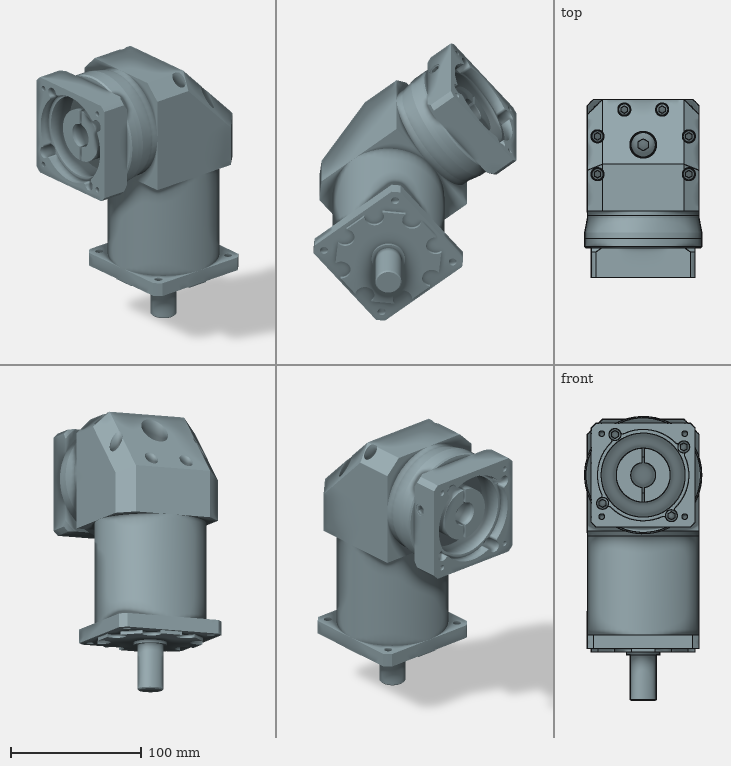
import cadquery as cq
import math


half_width = 43.0
bevel = 11.8
slant_leg = 49.7
output_neck_end = 46.9
input_neck_end = 46.2
bolt_circle_radius = 38.0
bolt_count = 8
bolt_hole_radius = 5.0
bolt_head_radius = 4.4
bolt_head_height = 4.4
bolt_hole_floor = -8.7
bolt_socket_radius = 2.8
bolt_socket_depth = 2.2
plug_y = 8.0
plug_hole_radius = 10.2
plug_radius = 9.4
plug_floor = 13.0
plug_height = 2.2
plug_socket_radius = 4.5

flange_top = 122.5
flange_bottom = 133.2
flange_corner_radius = 57.3
flange_hole_offset = 35.0
flange_hole_radius = 3.0
pilot_bottom = 135.8
pilot_flat_distance = 40.0
pilot_notch_radius = 7.5
seal_bottom = 138.0
seal_radius = 12.9
shaft_radius = 10.0
shaft_chamfer = 0.9

cone_start = 48.5
cone_end = 59.3
ring_diameter = 90.0
ring_radius = ring_diameter / 2
ring_end = 63.9

adapter_shoulder = 71.0
adapter_shoulder_chamfer = 1.0
adapter_end = 94.0
plate_width = 79.8
plate_half_width = plate_width / 2
plate_corner_radius = 53.8
plate_back_radius = 51.0
plate_back_chamfer = 3.0
pilot_bore_radius = 35.0
pilot_bore_depth = 7.8
main_bore_radius = 32.3
bore_floor = 67.0
motor_hole_offset = 31.8
motor_hole_radius = 2.2
motor_hole_depth = 13.0
adapter_bolt_angle = 34.8
adapter_bolt_radius = 4.5
adapter_bolt_depth = 15.3
adapter_bolt_blend = 1.7
adapter_socket_radius = 3.0
side_screw_offset = 78.0
side_screw_z = 14.4
side_screw_radius = 5.0
side_screw_recess = 0.5
side_socket_radius = 3.7
side_socket_depth = 4.4

overall_height = 218
shaft_end = overall_height - ring_radius

hub_front = 84.0
hub_radius = 20.7
hub_bore_radius = 9.5
hub_slot_width = 2.2
hub_slot_depth = 11.0
hub_sleeve_radius = 13.7


def disc_down(radius, top, bottom):
    """Cylinder on the output axis between two distances below the origin."""
    return cq.Workplane("XY").workplane(offset=-top).circle(radius).extrude(top - bottom)


def input_plane(distance):
    """Plane across the input axis, facing the motor, with X along X and Y along Z."""
    return cq.Workplane("XZ").workplane(offset=distance)


def disc_input(radius, start, end):
    """Cylinder on the input axis between two distances from the origin."""
    return input_plane(start).circle(radius).extrude(end - start)


def hexagon(plane, corner_radius):
    """Hexagon with one corner on the plane's own vertical axis."""
    corners = [
        (corner_radius * math.sin(math.radians(60 * i)), corner_radius * math.cos(math.radians(60 * i)))
        for i in range(6)
    ]
    return plane.polyline(corners).close()


def socket_screw_hole(x, y, floor, hole_radius, head_radius, head_height, socket_radius):
    """Vertical hole that leaves a screw head with a hexagon socket standing on its floor."""
    base = cq.Workplane("XY").workplane(offset=floor).center(x, y)
    hole = base.circle(hole_radius).extrude(2 * half_width)
    head = base.circle(head_radius).extrude(head_height)
    socket_plane = base.workplane(offset=head_height - bolt_socket_depth)
    socket = hexagon(socket_plane, socket_radius).extrude(bolt_socket_depth)
    return hole.cut(head.cut(socket))


def make_housing():
    slant_start = half_width - slant_leg
    outline = [
        (-half_width, -half_width),
        (half_width, -half_width),
        (half_width, slant_start),
        (slant_start, half_width),
        (-half_width, half_width),
    ]
    body = cq.Workplane("YZ").polyline(outline).close().extrude(half_width, both=True)
    body = body.faces("<X or >X").edges("not (<Z or <Y)").chamfer(bevel)

    body = body.union(disc_down(half_width, half_width, output_neck_end))
    body = body.union(disc_input(half_width, half_width, input_neck_end))

    for i in range(bolt_count):
        angle = math.radians((i + 0.5) * 360 / bolt_count)
        x = bolt_circle_radius * math.cos(angle)
        y = bolt_circle_radius * math.sin(angle)
        if y > -bolt_circle_radius / 2:
            body = body.cut(socket_screw_hole(
                x, y, bolt_hole_floor, bolt_hole_radius,
                bolt_head_radius, bolt_head_height, bolt_socket_radius,
            ))

    return body.cut(socket_screw_hole(
        0, plug_y, plug_floor, plug_hole_radius, plug_radius, plug_height, plug_socket_radius,
    ))


def make_pilot():
    """Eight-sided pilot with a round notch at each corner."""
    across_corners = 2 * pilot_flat_distance / math.cos(math.pi / bolt_count)
    thickness = pilot_bottom - flange_bottom
    base = cq.Workplane("XY", origin=(0, 0, -pilot_bottom)).transformed(rotate=(0, 0, 180 / bolt_count))
    pilot = base.polygon(bolt_count, across_corners).extrude(thickness)
    notches = base.polarArray(bolt_circle_radius, 0, 360, bolt_count).circle(pilot_notch_radius)
    return pilot.cut(notches.extrude(thickness))


def make_output_stage():
    flange_thickness = flange_bottom - flange_top
    flange_plane = cq.Workplane("XY").workplane(offset=-flange_bottom)
    flange = flange_plane.rect(2 * half_width, 2 * half_width).extrude(flange_thickness)
    flange = flange.intersect(disc_down(flange_corner_radius, flange_top, flange_bottom))
    holes = flange_plane.rect(2 * flange_hole_offset, 2 * flange_hole_offset, forConstruction=True)
    flange = flange.cut(holes.vertices().circle(flange_hole_radius).extrude(flange_thickness))

    shaft = disc_down(shaft_radius, seal_bottom, shaft_end).faces("<Z").chamfer(shaft_chamfer)
    return (
        disc_down(half_width, output_neck_end, flange_top)
        .union(flange)
        .union(make_pilot())
        .union(disc_down(seal_radius, pilot_bottom, seal_bottom))
        .union(shaft)
    )


def make_input_ring():
    profile = [
        (0, -input_neck_end),
        (half_width, -input_neck_end),
        (half_width, -cone_start),
        (ring_radius, -cone_end),
        (ring_radius, -ring_end),
        (0, -ring_end),
    ]
    return cq.Workplane("XY").polyline(profile).close().revolve(360, (0, 0, 0), (0, 1, 0))


def make_plate():
    """Square plate whose corners and back corner bevels are turned about the input axis."""
    square = input_plane(adapter_shoulder).rect(2 * plate_half_width, 2 * plate_half_width)
    square = square.extrude(adapter_end - adapter_shoulder)
    turned_profile = [
        (0, -adapter_shoulder),
        (plate_back_radius, -adapter_shoulder),
        (plate_corner_radius, -adapter_shoulder - plate_back_chamfer),
        (plate_corner_radius, -adapter_end),
        (0, -adapter_end),
    ]
    turned = cq.Workplane("XY").polyline(turned_profile).close().revolve(360, (0, 0, 0), (0, 1, 0))
    return square.intersect(turned)


def adapter_bolt_places():
    """X and Z of the four adapter bolts."""
    angles = [math.radians(adapter_bolt_angle + 90 * i) for i in range(4)]
    return [(bolt_circle_radius * math.cos(a), bolt_circle_radius * math.sin(a)) for a in angles]


def make_pilot_recess():
    """Pilot bore joined to the four bolt holes with rounded corners."""
    pilot_floor = adapter_end - pilot_bore_depth
    bolt_holes = input_plane(pilot_floor).pushPoints(adapter_bolt_places()).circle(adapter_bolt_radius)
    recess = disc_input(pilot_bore_radius, pilot_floor, adapter_end).union(bolt_holes.extrude(pilot_bore_depth))
    return recess.edges("|Y").fillet(adapter_bolt_blend)


def make_adapter():
    shoulder = disc_input(ring_radius, ring_end, adapter_shoulder).faces("<Y").chamfer(adapter_shoulder_chamfer)
    body = shoulder.union(make_plate())
    body = body.cut(make_pilot_recess())
    body = body.cut(disc_input(main_bore_radius, bore_floor, adapter_end))

    for x in (-motor_hole_offset, motor_hole_offset):
        for z in (-motor_hole_offset, motor_hole_offset):
            hole = input_plane(adapter_end - motor_hole_depth).center(x, z).circle(motor_hole_radius)
            tip = cq.Solid.makeCone(
                motor_hole_radius, 0, motor_hole_radius,
                cq.Vector(x, motor_hole_depth - adapter_end, z), cq.Vector(0, 1, 0),
            )
            body = body.cut(hole.extrude(motor_hole_depth)).cut(cq.Workplane(tip))

    for x, z in adapter_bolt_places():
        head_plane = input_plane(adapter_end - adapter_bolt_depth).center(x, z)
        body = body.cut(head_plane.circle(adapter_bolt_radius).extrude(adapter_bolt_depth))
        body = body.cut(hexagon(head_plane, adapter_socket_radius).extrude(-bolt_socket_depth))

    side = cq.Workplane("YZ").workplane(offset=-plate_half_width).center(-side_screw_offset, side_screw_z)
    body = body.cut(side.circle(side_screw_radius).extrude(side_screw_recess))
    return body.cut(hexagon(side, side_socket_radius).extrude(side_socket_depth))


def make_hub():
    """Clamp hub slit across its bore; the slit runs the full length only near the bore."""
    body = disc_input(hub_radius, bore_floor, hub_front).cut(disc_input(hub_bore_radius, bore_floor, hub_front))
    front_slot = input_plane(hub_front - hub_slot_depth).rect(hub_slot_width, 2 * hub_radius)
    deep_slot = input_plane(bore_floor).rect(hub_slot_width, 2 * hub_sleeve_radius)
    body = body.cut(front_slot.extrude(hub_slot_depth))
    return body.cut(deep_slot.extrude(hub_front - bore_floor))


housing = make_housing()
output_stage = make_output_stage()
input_ring = make_input_ring()
adapter = make_adapter()
hub = make_hub()

result = cq.Compound.makeCompound([
    housing.val(),
    output_stage.val(),
    input_ring.val(),
    adapter.val(),
    hub.val(),
])